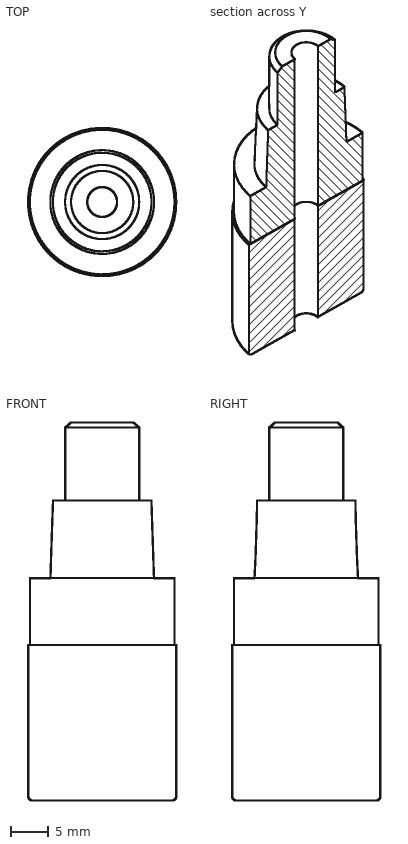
import cadquery as cq

bore_diameter = 4.0

base_diameter = 20.0
base_height = 21.0
base_edge_radius = 0.6

collar_diameter = 19.5
collar_height = 9.0

taper_bottom_diameter = 14.0
taper_top_diameter = 13.3
taper_height = 10.5

tip_diameter = 10.0
tip_height = 10.5
tip_chamfer_width = 0.8
tip_chamfer_height = 0.7

collar_top = base_height + collar_height
taper_top = collar_top + taper_height
tip_top = taper_top + tip_height


def make_base():
    """Plain round base with a rounded lower edge and a through bore."""
    base = cq.Workplane("XY").circle(base_diameter / 2).extrude(base_height)
    base = base.faces("<Z").edges().fillet(base_edge_radius)
    return base.faces(">Z").workplane().hole(bore_diameter)


def make_spigot():
    """Stepped spigot standing on the base: collar, taper and chamfered tip around the bore."""
    bore_radius = bore_diameter / 2
    tip_radius = tip_diameter / 2
    return (
        cq.Workplane("XZ")
        .moveTo(bore_radius, base_height)
        .lineTo(collar_diameter / 2, base_height)
        .lineTo(collar_diameter / 2, collar_top)
        .lineTo(taper_bottom_diameter / 2, collar_top)
        .lineTo(taper_top_diameter / 2, taper_top)
        .lineTo(tip_radius, taper_top)
        .lineTo(tip_radius, tip_top - tip_chamfer_height)
        .lineTo(tip_radius - tip_chamfer_width, tip_top)
        .lineTo(bore_radius, tip_top)
        .close()
        .revolve(360, (0, 0, 0), (0, 1, 0))
    )


base = make_base()
spigot = make_spigot()

result = cq.Compound.makeCompound([base.val(), spigot.val()])